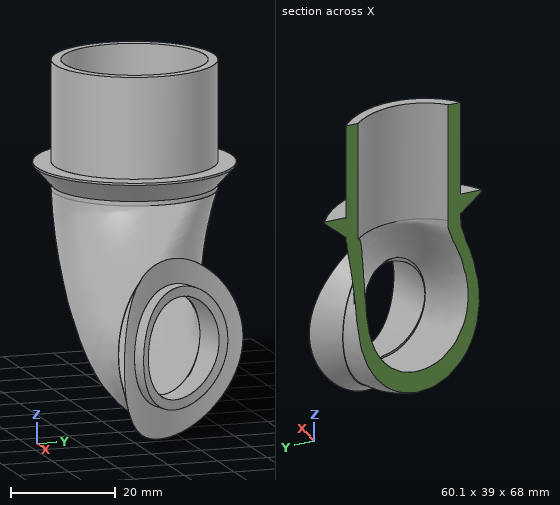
import cadquery as cq
import math

socket_radius = 16.0
bore_radius = 14.1
socket_height = 19.9
collar_radius = 19.5
collar_height = 5.25
collar_lip = 0.4
collar_foot = 0.9

pipe_angle = math.radians(15)
saddle_angle = math.radians(31.2)
outlet_center = cq.Vector(25.0, -2.25, -24.95)
outlet_half_width = 13.45
outlet_half_height = 15.4
outlet_bore_radius = 10.0
start_handle = 7.5
end_handle = 9.5
section_count = 7

flange_center = cq.Vector(31.5, -0.51, -25.35)
flange_radius = 17.5
flare_step = 0.15
flare_half_width = outlet_half_width + flare_step
flare_half_height = outlet_half_height + flare_step
flare_depth = 6.8
flare_point_count = 24
saddle_radius = 39.2
saddle_axis_distance = math.sqrt(saddle_radius**2 - flange_radius**2)

spigot_radius = 12.0
spigot_length = 2.6

up = cq.Vector(0, 0, 1)
down = cq.Vector(0, 0, -1)
pipe_direction = cq.Vector(math.cos(pipe_angle), math.sin(pipe_angle), 0)
outward = cq.Vector(math.cos(saddle_angle), math.sin(saddle_angle), 0)
sideways = cq.Vector(math.sin(saddle_angle), -math.cos(saddle_angle), 0)


def ellipse_wire(center, direction, half_width, half_height):
    """Ellipse normal to direction, with its shorter axis sideways."""
    upright = direction.cross(sideways)
    plane = cq.Plane(origin=center, xDir=upright, normal=direction)
    return cq.Workplane(plane).ellipse(half_height, half_width).val()


def bend(start_radius, end_half_width, end_half_height):
    """Loft along a cubic Bezier centre line from a circle to the outlet ellipse.

    The sections turn evenly from the socket plane to the outlet plane.
    """
    start = cq.Vector(0, 0, 0)
    start_control = start + down * start_handle
    end_control = outlet_center - pipe_direction * end_handle
    wires = []
    for index in range(section_count):
        t = index / (section_count - 1)
        s = 1 - t
        point = start_control * (3 * s * s * t) + end_control * (3 * s * t * t) + outlet_center * t**3
        turn = t * math.pi / 2
        normal = down * math.cos(turn) + outward * math.sin(turn)
        half_width = start_radius + (end_half_width - start_radius) * t
        half_height = start_radius + (end_half_height - start_radius) * t
        wires.append(ellipse_wire(point, normal, half_width, half_height))
    return cq.Workplane(cq.Solid.makeLoft(wires))


def saddle_cylinder(radius):
    """Vertical cylinder the outlet is fitted to."""
    axis = flange_center + outward * saddle_axis_distance
    base = cq.Vector(axis.x, axis.y, flange_center.z - saddle_radius)
    return cq.Workplane(cq.Solid.makeCylinder(radius, 2 * saddle_radius, base))


def outlet_cylinder(start, radius, length):
    return cq.Workplane(cq.Solid.makeCylinder(radius, length, start, pipe_direction))


def socket():
    """Turned socket with its conical collar."""
    profile = [
        (0, 0),
        (socket_radius, 0),
        (socket_radius, collar_foot),
        (collar_radius, collar_height - collar_lip),
        (collar_radius, collar_height),
        (socket_radius, collar_height),
        (socket_radius, collar_height + socket_height),
        (0, collar_height + socket_height),
    ]
    return cq.Workplane("XZ").polyline(profile).close().revolve(360, (0, 0), (0, 1))


def flare_wire(depth):
    """Planar section of the flare, found by running its straight sides to a depth past the outlet.

    Each side starts just outside the outlet ellipse and passes through the rim on the saddle.
    """
    rim_offset = flange_center - outlet_center
    points = []
    for index in range(flare_point_count):
        angle = 2 * math.pi * index / flare_point_count
        across = math.cos(angle)
        rise = math.sin(angle)
        root = outlet_center + sideways * (flare_half_width * across) + up * (flare_half_height * rise)
        rim = flange_center + sideways * (flange_radius * across) + up * (flange_radius * rise)
        sag = math.sqrt(saddle_radius**2 - (flange_radius * across) ** 2) - saddle_axis_distance
        rim = rim - outward * sag
        rim_depth = rim_offset.dot(outward) - sag
        points.append(root + (rim - root) * (depth / rim_depth))
    return cq.Wire.assembleEdges([cq.Edge.makeSpline(points, periodic=True)])


def saddle_flange():
    """Straight-sided flare trimmed to the rim by the saddle cylinder."""
    flare = cq.Solid.makeLoft([flare_wire(0), flare_wire(flare_depth)], True)
    return cq.Workplane(flare).cut(saddle_cylinder(saddle_radius))


def spigot():
    blank = outlet_cylinder(outlet_center, spigot_radius, saddle_axis_distance)
    return blank.cut(saddle_cylinder(saddle_radius - spigot_length))


socket_bore = cq.Workplane("XY").circle(bore_radius).extrude(collar_height + socket_height)
hollow_socket = socket().cut(socket_bore)

bend_bore_end = outlet_bore_radius / math.cos(saddle_angle - pipe_angle)
bend_bore = bend(bore_radius, bend_bore_end, bend_bore_end)
hollow_bend = bend(socket_radius, outlet_half_width, outlet_half_height).cut(bend_bore)

outlet_bore_start = outlet_center - pipe_direction * outlet_bore_radius
outlet_bore = outlet_cylinder(outlet_bore_start, outlet_bore_radius, saddle_axis_distance)
hollow_outlet = saddle_flange().union(spigot()).cut(outlet_bore)

result = hollow_socket.union(hollow_bend).union(hollow_outlet)